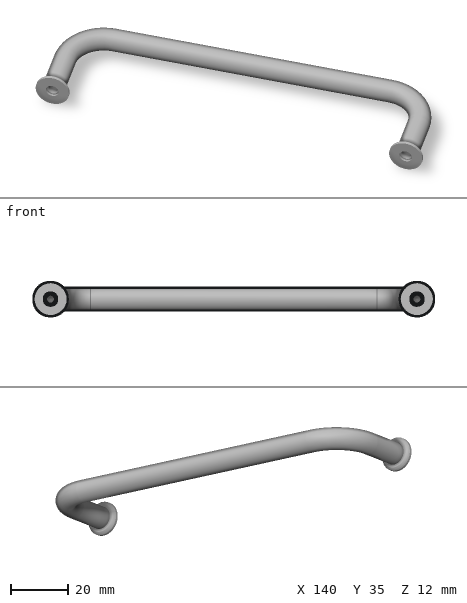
import cadquery as cq
import math

overall_length = 140.0
overall_depth = 35.0

rod_diameter = 8.0
bend_radius = 14.0

washer_diameter = 12.0
washer_thickness = 2.0
washer_rim_height = 1.0
shoulder_width = 1.0
shoulder_radius = 2.0
washer_floor = 0.8
washer_bore = 4.6

screw_hole_diameter = 3.2
screw_hole_depth = 9.8
countersink_diameter = 3.9
countersink_depth = 0.4
drill_point_angle = 118.0

rod_radius = rod_diameter / 2
washer_radius = washer_diameter / 2
bore_radius = washer_bore / 2
leg_x = overall_length / 2 - washer_radius
rod_end_y = washer_floor
grip_y = overall_depth - rod_radius
bend_start_y = grip_y - bend_radius
grip_half_length = leg_x - bend_radius


def handle_path():
    """Centre line of the rod: leg, bend, grip, bend, leg."""
    bend_offset = bend_radius * math.sqrt(0.5)
    bend_mid_x = grip_half_length + bend_offset
    bend_mid_y = bend_start_y + bend_offset
    return (
        cq.Workplane("XY")
        .moveTo(-leg_x, rod_end_y)
        .lineTo(-leg_x, bend_start_y)
        .threePointArc((-bend_mid_x, bend_mid_y), (-grip_half_length, grip_y))
        .lineTo(grip_half_length, grip_y)
        .threePointArc((bend_mid_x, bend_mid_y), (leg_x, bend_start_y))
        .lineTo(leg_x, rod_end_y)
    )


def make_screw_hole(x):
    """Blind hole with a countersunk mouth and a conical tip, to be cut from the rod end at x."""
    radius = screw_hole_diameter / 2
    point_length = radius / math.tan(math.radians(drill_point_angle / 2))
    hole_end_y = rod_end_y + screw_hole_depth
    return (
        cq.Workplane("XY")
        .moveTo(0, rod_end_y)
        .lineTo(countersink_diameter / 2, rod_end_y)
        .lineTo(radius, rod_end_y + countersink_depth)
        .lineTo(radius, hole_end_y)
        .lineTo(0, hole_end_y + point_length)
        .close()
        .revolve(360, (0, 0, 0), (0, 1, 0))
        .translate((x, 0, 0))
    )


def make_handle():
    """Bent round rod with a screw hole in each end."""
    handle = (
        cq.Workplane("XZ", origin=(-leg_x, rod_end_y, 0))
        .circle(rod_radius)
        .sweep(handle_path())
    )
    for x in (-leg_x, leg_x):
        handle = handle.cut(make_screw_hole(x))
    return handle


def make_washer(x):
    """Foot washer with a curved shoulder, a through bore and a recess for the rod end at x."""
    return (
        cq.Workplane("XY")
        .moveTo(bore_radius, 0)
        .lineTo(washer_radius, 0)
        .lineTo(washer_radius, washer_rim_height)
        .radiusArc((washer_radius - shoulder_width, washer_thickness), -shoulder_radius)
        .lineTo(rod_radius, washer_thickness)
        .lineTo(rod_radius, washer_floor)
        .lineTo(bore_radius, washer_floor)
        .close()
        .revolve(360, (0, 0, 0), (0, 1, 0))
        .translate((x, 0, 0))
    )


handle = make_handle()
washers = [make_washer(x) for x in (-leg_x, leg_x)]

result = cq.Compound.makeCompound([handle.val(), *[washer.val() for washer in washers]])